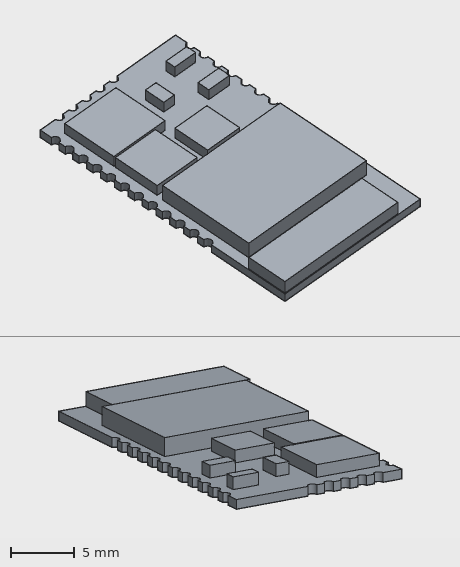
import cadquery as cq

board_length = 26.92
board_width = 15.25
board_thickness = 0.8

notch_radius = 0.4
long_edge_notch_count = 12
long_edge_first_notch = 1.65
long_edge_last_notch = 18.4
notch_pitch = (long_edge_last_notch - long_edge_first_notch) / (long_edge_notch_count - 1)
short_edge_notch_count = 5
short_edge_first_notch = 2.13

total_height = 2.37
shield_height = total_height - board_thickness
chip_height = 1.05
antenna_height = 1.25

shield_left = 12.5
shield_length = 9.48
shield_width = 13.25
shield_front = (board_width - shield_width) / 2

antenna_length = 3.98
antenna_width = 12.7
antenna_inset = 0.08
antenna_left = board_length - antenna_inset - antenna_length

chip_front = 1.08
chip_right = 11.82
large_chip_left = 1.65
large_chip_length = 5.4
large_chip_width = 5.75
medium_chip_length = 4.6
medium_chip_width = 4.5
square_chip_side = 3.6
square_chip_front = 6.75

upright_front = 11.76
upright_width = 2.35
narrow_upright_left = 2.35
narrow_upright_length = 0.97
wide_upright_left = 5.87
wide_upright_length = 1.18
lying_left = 3.5
lying_front = 8.26
lying_length = 2.02
lying_width = 1.18


def component(left, front, length, width, height):
    """Rectangular block standing on the top face of the board."""
    block = cq.Workplane("XY").box(length, width, height, centered=False)
    return block.translate((left, front, board_thickness))


def notch_centres():
    """Notch centres on the two long edges and on the left short edge."""
    centres = []
    for index in range(long_edge_notch_count):
        x = long_edge_first_notch + index * notch_pitch
        centres.append((x, 0))
        centres.append((x, board_width))
    for index in range(short_edge_notch_count):
        centres.append((0, short_edge_first_notch + index * notch_pitch))
    return centres


def notched_board():
    board = cq.Workplane("XY").box(board_length, board_width, board_thickness, centered=False)
    notches = cq.Workplane("XY").pushPoints(notch_centres()).circle(notch_radius).extrude(board_thickness)
    return board.cut(notches)


shield = component(shield_left, shield_front, shield_length, shield_width, shield_height)
antenna = component(antenna_left, antenna_inset, antenna_length, antenna_width, antenna_height)

large_chip = component(large_chip_left, chip_front, large_chip_length, large_chip_width, chip_height)
medium_chip = component(
    chip_right - medium_chip_length, chip_front, medium_chip_length, medium_chip_width, chip_height
)
square_chip = component(
    chip_right - square_chip_side, square_chip_front, square_chip_side, square_chip_side, chip_height
)

narrow_upright = component(
    narrow_upright_left, upright_front, narrow_upright_length, upright_width, chip_height
)
wide_upright = component(wide_upright_left, upright_front, wide_upright_length, upright_width, chip_height)
lying_part = component(lying_left, lying_front, lying_length, lying_width, chip_height)

result = notched_board()
for part in (
    shield,
    antenna,
    large_chip,
    medium_chip,
    square_chip,
    narrow_upright,
    wide_upright,
    lying_part,
):
    result = result.union(part)